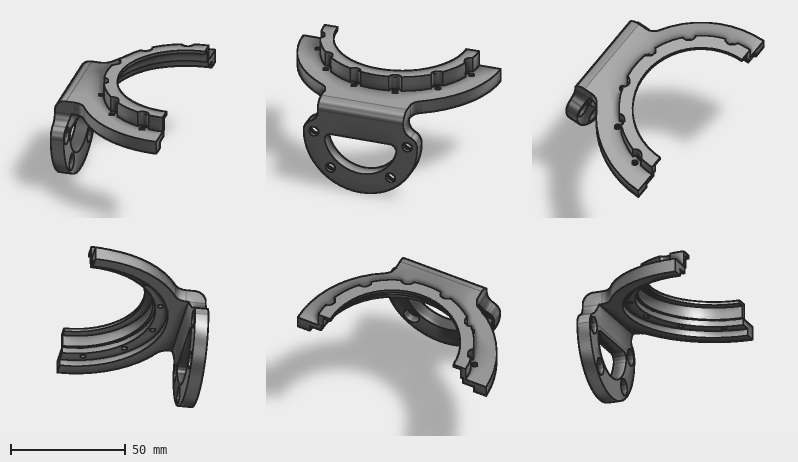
import cadquery as cq
import math

plate_radius = 46.0
plate_bore_radius = 34.6
plate_thickness = 6.0
recess_radius = 40.0
recess_depth = 3.0
neck_half_width = 20.0
neck_fillet = 6.0

rim_height = 7.0
rim_outer_radius = 36.0
rim_inner_radius = 33.5
lip_radius = 30.0
lip_thickness = 1.5

screw_circle_radius = 37.0
screw_hole_radius = 1.2
notch_radius = 3.0
screw_angles = [105, 135, 165, 195, 225, 255]

back_x = -54.0
flange_thickness = 6.0
flange_radius = 26.5
flange_center_z = -10.0
bend_radius = 5.0
gusset_height = 8.4
gusset_radius = 20.2
window_radius = 17.0
window_fillet = 3.0
mount_circle_radius = 21.7
mount_hole_radius = 2.2
counterbore_radius = 3.8
counterbore_floor = 2.0
mount_angles = [180, 230, 310, 360]

rim_top = plate_thickness + rim_height
gusset_depth = gusset_radius - math.sqrt(gusset_radius**2 - gusset_height**2)


def half_disc(radius, bottom, top):
    """Half cylinder on the -X side of the Z axis."""
    return (
        cq.Workplane("XY", origin=(0, 0, bottom))
        .moveTo(0, radius)
        .threePointArc((-radius, 0), (0, -radius))
        .close()
        .extrude(top - bottom)
    )


def neck():
    """Arm from the half ring to the bend, flared by arcs tangent to both."""
    fillet_y = neck_half_width + neck_fillet
    center_distance = plate_radius + neck_fillet
    fillet_x = -math.sqrt(center_distance**2 - fillet_y**2)
    tangent_x = fillet_x * plate_radius / center_distance
    tangent_y = fillet_y * plate_radius / center_distance
    return (
        cq.Workplane("XY")
        .moveTo(back_x, -neck_half_width)
        .lineTo(fillet_x, -neck_half_width)
        .radiusArc((tangent_x, -tangent_y), neck_fillet)
        .lineTo(-rim_outer_radius, 0)
        .lineTo(tangent_x, tangent_y)
        .radiusArc((fillet_x, neck_half_width), neck_fillet)
        .lineTo(back_x, neck_half_width)
        .close()
        .extrude(plate_thickness)
    )


def flange_outline():
    """Flange face extruded along X over the full depth of the gusset."""
    step_y = flange_radius - neck_half_width
    step_z = -flange_center_z
    shoulder_radius = (step_y**2 + step_z**2) / (4 * step_y)
    middle_y = (flange_radius + neck_half_width) / 2
    middle_z = flange_center_z / 2
    depth = flange_thickness + gusset_depth
    return (
        cq.Workplane("YZ", origin=(back_x, 0, 0))
        .moveTo(-neck_half_width, plate_thickness)
        .lineTo(-neck_half_width, 0)
        .radiusArc((-middle_y, middle_z), shoulder_radius)
        .radiusArc((-flange_radius, flange_center_z), -shoulder_radius)
        .threePointArc((0, flange_center_z - flange_radius), (flange_radius, flange_center_z))
        .radiusArc((middle_y, middle_z), -shoulder_radius)
        .radiusArc((neck_half_width, 0), shoulder_radius)
        .lineTo(neck_half_width, plate_thickness)
        .close()
        .extrude(depth)
    )


def flange_side_profile():
    """Side profile with a shallow arc thickening the flange below the plate."""
    front_x = back_x + flange_thickness
    bottom = flange_center_z - flange_radius
    return (
        cq.Workplane("XZ")
        .moveTo(back_x, bottom)
        .lineTo(front_x, bottom)
        .lineTo(front_x, -gusset_height)
        .radiusArc((front_x + gusset_depth, 0), gusset_radius)
        .lineTo(front_x + gusset_depth, plate_thickness)
        .lineTo(back_x, plate_thickness)
        .close()
        .extrude(flange_radius, both=True)
    )


def flange_cutouts():
    """Half-round window and the mounting holes, counterbored from the +X side."""
    depth = flange_thickness + gusset_depth
    flange_plane = cq.Workplane("YZ", origin=(back_x, 0, flange_center_z))
    cutouts = (
        flange_plane.moveTo(-window_radius, 0)
        .threePointArc((0, -window_radius), (window_radius, 0))
        .close()
        .extrude(depth)
        .edges("|X")
        .fillet(window_fillet)
    )
    for angle in mount_angles:
        y = mount_circle_radius * math.cos(math.radians(angle))
        z = mount_circle_radius * math.sin(math.radians(angle))
        position = flange_plane.center(y, z)
        hole = position.circle(mount_hole_radius).extrude(depth)
        counterbore = (
            position.workplane(offset=counterbore_floor)
            .circle(counterbore_radius)
            .extrude(depth - counterbore_floor)
        )
        cutouts = cutouts.union(hole).union(counterbore)
    return cutouts


def at_screws(radius, bottom, top):
    """Upright cylinders at all ring screw positions."""
    points = [
        (
            screw_circle_radius * math.cos(math.radians(angle)),
            screw_circle_radius * math.sin(math.radians(angle)),
        )
        for angle in screw_angles
    ]
    return cq.Workplane("XY", origin=(0, 0, bottom)).pushPoints(points).circle(radius).extrude(top - bottom)


plate = half_disc(plate_radius, 0, plate_thickness).union(neck())
flange = flange_outline().intersect(flange_side_profile()).cut(flange_cutouts())
bracket = plate.union(flange)
bend_edge = cq.selectors.NearestToPointSelector((back_x, 0, plate_thickness))
bracket = bracket.edges(bend_edge).fillet(bend_radius)
bracket = bracket.cut(half_disc(plate_bore_radius, 0, plate_thickness))
bracket = bracket.cut(half_disc(recess_radius, 0, recess_depth))
bracket = bracket.cut(at_screws(screw_hole_radius, 0, plate_thickness))

rim = (
    half_disc(rim_outer_radius, plate_thickness, rim_top)
    .cut(half_disc(rim_inner_radius, plate_thickness, rim_top - lip_thickness))
    .cut(half_disc(lip_radius, rim_top - lip_thickness, rim_top))
    .cut(at_screws(notch_radius, plate_thickness, rim_top))
)

result = bracket.union(rim)